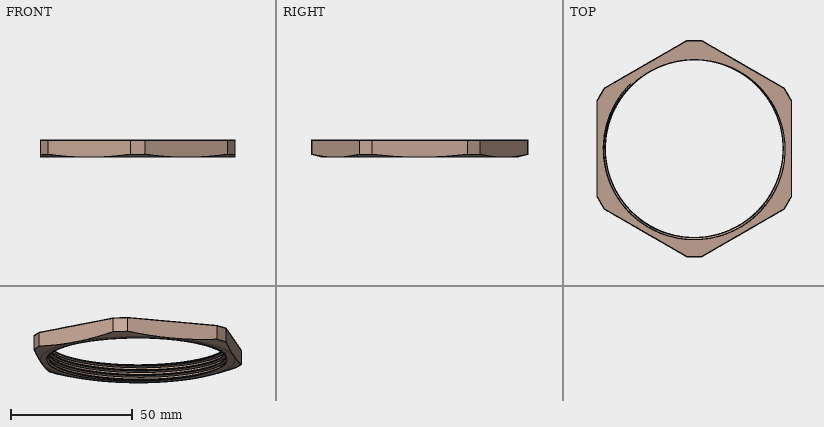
import cadquery as cq
import math

across_flats = 80.0
across_corners = 88.9
thickness = 7.0

chamfer_angle = 15.0
corner_clearance = 0.9

minor_radius = 36.5
thread_depth = 0.9
turns_in_thickness = 3.5
thread_pitch = thickness / turns_in_thickness
crest_width = 0.2
flank_half_angle = 30.0
groove_start_angle = 280.0
groove_overlap = 0.1


def truncated_hexagon():
    """Hexagonal plate with its six corners cut off square to the radius."""
    corner_diameter = across_flats / math.cos(math.pi / 6)
    hexagon = cq.Workplane("XY").polygon(6, corner_diameter).extrude(thickness)
    hexagon = hexagon.rotate((0, 0, 0), (0, 0, 1), 30)
    corner_limit_diameter = across_corners / math.cos(math.pi / 6)
    corner_limit = cq.Workplane("XY").polygon(6, corner_limit_diameter).extrude(thickness)
    return hexagon.intersect(corner_limit)


def chamfer_envelope():
    """Solid of revolution whose lower edge is the conical chamfer."""
    bottom_radius = across_flats / 2
    outer_radius = across_corners / 2 + corner_clearance
    rise = (outer_radius - bottom_radius) * math.tan(math.radians(chamfer_angle))
    profile = [
        (0, 0),
        (bottom_radius, 0),
        (outer_radius, rise),
        (outer_radius, thickness),
        (0, thickness),
    ]
    return cq.Workplane("XZ").polyline(profile).close().revolve(360, (0, 0, 0), (0, 1, 0))


def thread_groove():
    """Right-handed helical groove that runs out through both faces."""
    turns = math.ceil(turns_in_thickness) + 2
    start_z = thickness - (turns - 1) * thread_pitch
    flank_slope = math.tan(math.radians(flank_half_angle))
    crest_half_gap = (thread_pitch - crest_width) / 2
    mouth_half = crest_half_gap + groove_overlap * flank_slope
    root_half = crest_half_gap - thread_depth * flank_slope
    mouth_radius = minor_radius - groove_overlap
    root_radius = minor_radius + thread_depth
    profile = [
        (mouth_radius, -mouth_half),
        (root_radius, -root_half),
        (root_radius, root_half),
        (mouth_radius, mouth_half),
    ]
    helix = cq.Wire.makeHelix(thread_pitch, turns * thread_pitch, minor_radius)
    groove = cq.Workplane("XZ").polyline(profile).close().sweep(cq.Workplane(helix), isFrenet=True)
    groove = groove.rotate((0, 0, 0), (0, 0, 1), groove_start_angle)
    return groove.translate((0, 0, start_z))


bore = cq.Workplane("XY").circle(minor_radius).extrude(thickness)
plate = truncated_hexagon().intersect(chamfer_envelope())
result = plate.cut(thread_groove()).cut(bore)